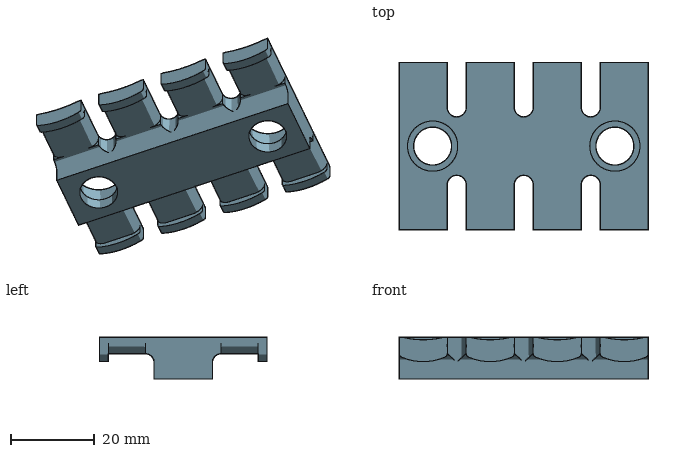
import cadquery as cq
import math


HEIGHT = 10.0
PLATE_DEPTH = 40.0
HALF_DEPTH = PLATE_DEPTH / 2

FINGER_COUNT = 4
FINGER_WIDTH = 11.5
SLOT_WIDTH = 4.5
SLOT_END_Y = 7.0
FINGER_PITCH = FINGER_WIDTH + SLOT_WIDTH
LENGTH = FINGER_COUNT * FINGER_WIDTH + (FINGER_COUNT - 1) * SLOT_WIDTH
FINGER_CENTRES = [(i - (FINGER_COUNT - 1) / 2) * FINGER_PITCH for i in range(FINGER_COUNT)]
SLOT_CENTRES = [x + FINGER_PITCH / 2 for x in FINGER_CENTRES[:-1]]

PLATE_THICKNESS = 4.0
BLOCK_HALF_DEPTH = 7.0
BLOCK_FILLET = 2.0
PLATE_UNDERSIDE = HEIGHT - PLATE_THICKNESS
FINGER_ROOT_Y = BLOCK_HALF_DEPTH + BLOCK_FILLET

SHANK_EDGE_FILLET = 2.5

TIP_LENGTH = 2.1
TIP_DROP = 5.85
TIP_BOTTOM_RADIUS = 13.0
TIP_EDGE_FILLET = 1.0
TIP_START_Y = HALF_DEPTH - TIP_LENGTH

TROUGH_HALF_WIDTH = 5.0
TROUGH_RADIUS = 20.0
TROUGH_STRAIGHT_Y = 11.25

HOLE_DIAMETER = 9.0
COUNTERBORE_DIAMETER = 12.0
COUNTERBORE_DEPTH = 6.5
HOLE_END_DISTANCE = 8.0
HOLE_X = LENGTH / 2 - HOLE_END_DISTANCE


def arc_sagitta(radius, half_chord):
    """Height of a circular arc above its chord."""
    return radius - math.sqrt(radius**2 - half_chord**2)


def xz_profile(y):
    """Sketch plane at the given Y; local axes are X and Z, and negative extrusion runs toward +Y."""
    return cq.Workplane(cq.Plane(origin=(0, y, 0), xDir=(1, 0, 0), normal=(0, -1, 0)))


def make_trough():
    """Cutter for the trough of a finger that points toward +Y."""
    sagitta = arc_sagitta(TROUGH_RADIUS, TROUGH_HALF_WIDTH)
    floor_z = HEIGHT - sagitta
    mid_x = TROUGH_HALF_WIDTH / 2
    mid_z = floor_z + arc_sagitta(TROUGH_RADIUS, mid_x)
    channel = (
        xz_profile(TROUGH_STRAIGHT_Y)
        .moveTo(-TROUGH_HALF_WIDTH, HEIGHT)
        .threePointArc((0, floor_z), (TROUGH_HALF_WIDTH, HEIGHT))
        .close()
        .extrude(TROUGH_STRAIGHT_Y - HALF_DEPTH)
    )
    spherical_end = (
        xz_profile(TROUGH_STRAIGHT_Y)
        .moveTo(0, HEIGHT)
        .lineTo(0, floor_z)
        .threePointArc((-mid_x, mid_z), (-TROUGH_HALF_WIDTH, HEIGHT))
        .close()
        .revolve(180, (0, 0, 0), (0, 1, 0))
    )
    return channel.union(spherical_end)


def make_shank():
    """Flat finger bar with rounded lower edges, from the block fillet to the free end."""
    length = HALF_DEPTH - FINGER_ROOT_Y
    return (
        cq.Workplane("XY", origin=(0, FINGER_ROOT_Y + length / 2, PLATE_UNDERSIDE))
        .box(FINGER_WIDTH, length, PLATE_THICKNESS, centered=(True, True, False))
        .edges("|Y and <Z")
        .fillet(SHANK_EDGE_FILLET)
    )


def make_tip():
    """Deeper end of the finger, with an arched underside and rounded lower corners."""
    half_width = FINGER_WIDTH / 2
    bottom_z = HEIGHT - TIP_DROP
    side_z = bottom_z + arc_sagitta(TIP_BOTTOM_RADIUS, half_width)
    return (
        xz_profile(TIP_START_Y)
        .moveTo(-half_width, HEIGHT)
        .lineTo(-half_width, side_z)
        .threePointArc((0, bottom_z), (half_width, side_z))
        .lineTo(half_width, HEIGHT)
        .close()
        .extrude(-TIP_LENGTH)
        .edges("|Y and (not >Z)")
        .fillet(TIP_EDGE_FILLET)
    )


def make_core():
    """Full-length T-shaped core with filleted corners between block and plate."""
    fillet_mid = BLOCK_FILLET * (1 - math.sqrt(0.5))
    arc_y = BLOCK_HALF_DEPTH + fillet_mid
    arc_z = PLATE_UNDERSIDE - fillet_mid
    return (
        cq.Workplane("YZ", origin=(-LENGTH / 2, 0, 0))
        .moveTo(-BLOCK_HALF_DEPTH, 0)
        .lineTo(BLOCK_HALF_DEPTH, 0)
        .lineTo(BLOCK_HALF_DEPTH, PLATE_UNDERSIDE - BLOCK_FILLET)
        .threePointArc((arc_y, arc_z), (FINGER_ROOT_Y, PLATE_UNDERSIDE))
        .lineTo(FINGER_ROOT_Y, HEIGHT)
        .lineTo(-FINGER_ROOT_Y, HEIGHT)
        .lineTo(-FINGER_ROOT_Y, PLATE_UNDERSIDE)
        .threePointArc((-arc_y, arc_z), (-BLOCK_HALF_DEPTH, PLATE_UNDERSIDE - BLOCK_FILLET))
        .close()
        .extrude(LENGTH)
    )


def make_slot():
    """Cutter for a round-ended slot at X = 0 that opens toward +Y."""
    radius = SLOT_WIDTH / 2
    centre_y = SLOT_END_Y + radius
    return (
        cq.Workplane("XY")
        .moveTo(-radius, HALF_DEPTH)
        .lineTo(-radius, centre_y)
        .threePointArc((0, SLOT_END_Y), (radius, centre_y))
        .lineTo(radius, HALF_DEPTH)
        .close()
        .extrude(HEIGHT)
    )


def both_sides(shape, centres):
    """Copies of a +Y feature at every X centre, repeated on the -Y side."""
    copies = []
    for x in centres:
        copy = shape.translate((x, 0, 0))
        copies.append(copy)
        copies.append(copy.mirror("XZ"))
    return copies


result = make_core()
for finger in both_sides(make_shank().union(make_tip()), FINGER_CENTRES):
    result = result.union(finger)
for slot in both_sides(make_slot(), SLOT_CENTRES):
    result = result.cut(slot)
for trough in both_sides(make_trough(), FINGER_CENTRES):
    result = result.cut(trough)
result = (
    result.copyWorkplane(cq.Workplane("XY", origin=(0, 0, HEIGHT)))
    .pushPoints([(-HOLE_X, 0), (HOLE_X, 0)])
    .cboreHole(HOLE_DIAMETER, COUNTERBORE_DIAMETER, COUNTERBORE_DEPTH)
)